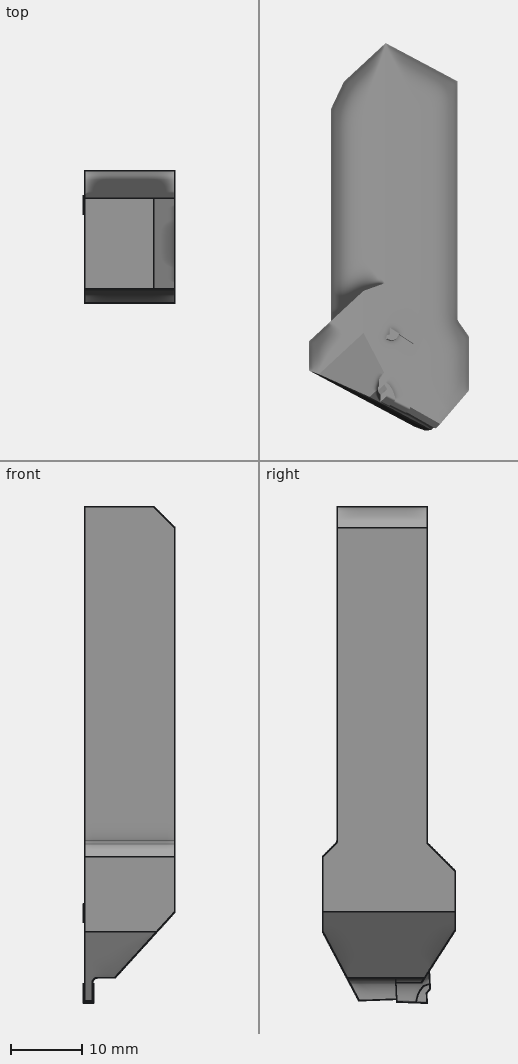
import cadquery as cq
import math

total_height = 69.85
shank_size = 12.7
shank_end_chamfer = 3.0
front_shoulder_z = 22.6
back_shoulder_z = 22.5
shoulder_radius = 0.7
head_front = 2.0
head_back = 3.9
head_front_low_z = 10.05
head_back_low_z = 10.3
nose_front_y = 3.1
nose_front_z = 0.35
nose_back_y = 10.4
nose_back_z = 0.6

blade_thickness = 1.1
blade_shelf_z = 3.55
blade_root_radius = 0.7
shelf_width = 4.25
side_slope_top_z = 12.85

insert_tilt = 2.8
insert_centre_y = 12.33
tip_half_length = 14.05 / 2
back_half_length = 6.65
insert_back = -4.25
insert_crown = 0.525
rake_end = 5.6
crown_half_length = 5.0
tip_overhang = 0.2
end_edge_radius = 0.2
neck_crown = 4.3
neck_start = (-0.35, 4.55)
neck_middle = (-1.08, 5.45)
neck_end_offset = -1.55


def make_holder_blank():
    """Square shank widening into the tapered head, extruded across X."""
    front_y = -head_front
    back_y = shank_size + head_back
    outline = [
        (0, total_height),
        (0, front_shoulder_z),
        (front_y, front_shoulder_z - head_front),
        (front_y, head_front_low_z),
        (nose_front_y, nose_front_z),
        (nose_back_y, nose_back_z),
        (back_y, head_back_low_z),
        (back_y, back_shoulder_z - head_back),
        (shank_size, back_shoulder_z),
        (shank_size, total_height),
    ]
    blank = cq.Workplane("YZ").polyline(outline).close().extrude(shank_size)
    shoulder_corner = cq.NearestToPointSelector((shank_size / 2, 0, front_shoulder_z))
    blank = blank.edges(shoulder_corner).fillet(shoulder_radius)
    return blank.edges(">Z and >X").chamfer(shank_end_chamfer)


def make_blade_relief():
    """Material removed on the +X side to leave the thin blade."""
    head_width = shank_size + head_front + head_back
    outline = [
        (blade_thickness, 0),
        (blade_thickness, blade_shelf_z),
        (shelf_width, blade_shelf_z),
        (shank_size, side_slope_top_z),
        (shank_size, 0),
    ]
    relief = (
        cq.Workplane("XZ", origin=(0, -head_front, 0))
        .polyline(outline)
        .close()
        .extrude(-head_width)
    )
    root = cq.NearestToPointSelector((blade_thickness, head_width / 2 - head_front, blade_shelf_z))
    return relief.edges(root).fillet(blade_root_radius)


def make_insert_body():
    """Insert between the blade faces, length along Z and cutting tips at Y = 0."""
    upper_half = [
        (insert_crown, crown_half_length),
        (0, rake_end),
        (0, tip_half_length),
        (insert_back, back_half_length),
    ]
    lower_half = [(y, -z) for y, z in reversed(upper_half)]
    return cq.Workplane("YZ").polyline(upper_half + lower_half).close().extrude(blade_thickness)


def round_end_edges(body):
    """Round the side edges of the slightly sloping end faces."""
    for end_face in (">Z", "<Z"):
        body = body.faces(end_face).edges("<X or >X").fillet(end_edge_radius)
    return body


def make_cutting_end():
    """Upper cutting end, wider than the blade."""
    relief_slope = (tip_half_length - back_half_length) / -insert_back
    neck_end = (neck_end_offset, tip_half_length + relief_slope * neck_end_offset)
    return (
        cq.Workplane("YZ", origin=(-tip_overhang, 0, 0))
        .moveTo(insert_crown, neck_crown)
        .lineTo(*neck_start)
        .threePointArc(neck_middle, neck_end)
        .lineTo(0, tip_half_length)
        .lineTo(0, rake_end)
        .lineTo(insert_crown, crown_half_length)
        .close()
        .extrude(blade_thickness + 2 * tip_overhang)
    )


def seat_insert(body, cutting_end):
    """Join a cutting end to each end of the body and tilt it into the seat."""
    insert = body.union(cutting_end).union(cutting_end.mirror("XY"))
    insert = insert.rotate((0, 0, 0), (1, 0, 0), insert_tilt)
    centre_z = tip_half_length * math.cos(math.radians(insert_tilt))
    return insert.translate((0, insert_centre_y, centre_z))


def make_insert():
    """Grooving insert with rounded end edges."""
    rounded_end = make_cutting_end().faces(">Z").edges("<X or >X").fillet(end_edge_radius)
    return seat_insert(round_end_edges(make_insert_body()), rounded_end)


def make_holder():
    """Holder with a sharp-edged pocket matching the insert profile."""
    pocket = seat_insert(make_insert_body(), make_cutting_end())
    return make_holder_blank().cut(make_blade_relief()).cut(pocket)


insert = make_insert()
holder = make_holder()

result = cq.Compound.makeCompound([holder.solids().val(), insert.solids().val()])